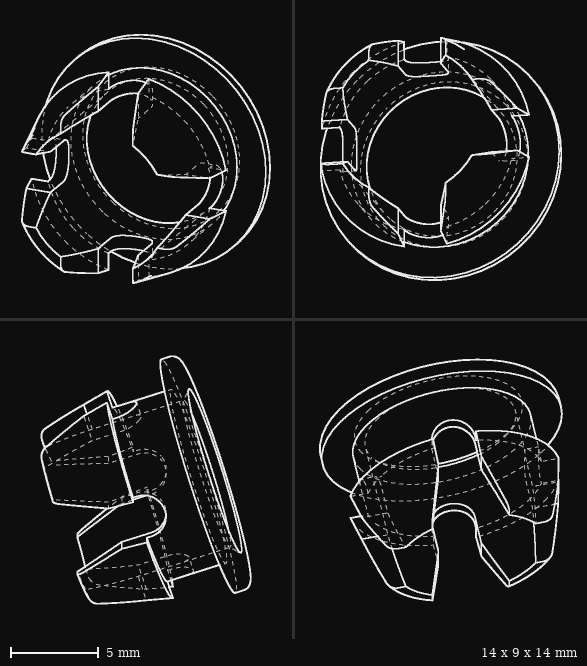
import cadquery as cq


flange_diameter = 14.0
flange_thickness = 1.0
flange_edge_radius = 0.5

total_length = 9.0
sleeve_diameter = 10.4
bore_diameter = 8.8
bore_entry_chamfer = 0.5

barb_shoulder_diameter = 12.4
barb_tip_diameter = sleeve_diameter
barb_shoulder_depth = 4.5
barb_tip_radius = 0.5

slot_width = 2.5
slot_end_depth = 3.0
slot_flare_depth = 6.0
slot_flare_per_side = 1.0
slot_directions = (0, 90)


def make_body():
    """Revolve the flange, sleeve and barb around Y and finish its end edges."""
    bore_radius = bore_diameter / 2
    flange_radius = flange_diameter / 2
    sleeve_radius = sleeve_diameter / 2
    profile = [
        (bore_radius, 0),
        (flange_radius, 0),
        (flange_radius, -flange_thickness),
        (sleeve_radius, -flange_thickness),
        (sleeve_radius, -barb_shoulder_depth),
        (barb_shoulder_diameter / 2, -barb_shoulder_depth),
        (barb_tip_diameter / 2, -total_length),
        (bore_radius, -total_length),
    ]
    body = cq.Workplane("XY").polyline(profile).close().revolve(360, (0, 0), (0, 1))
    innermost = cq.selectors.RadiusNthSelector(0)
    outermost = cq.selectors.RadiusNthSelector(-1)
    body = body.faces(">Y").edges(outermost).fillet(flange_edge_radius)
    body = body.faces(">Y").edges(innermost).chamfer(bore_entry_chamfer)
    return body.faces("<Y").edges(outermost).fillet(barb_tip_radius)


def make_slot():
    """Round-ended slot along Z that flares open toward the finger tips."""
    half_width = slot_width / 2
    mouth_half_width = half_width + slot_flare_per_side
    arc_center_depth = slot_end_depth + half_width
    return (
        cq.Workplane("XY")
        .moveTo(-half_width, -arc_center_depth)
        .threePointArc((0, -slot_end_depth), (half_width, -arc_center_depth))
        .lineTo(half_width, -slot_flare_depth)
        .lineTo(mouth_half_width, -total_length)
        .lineTo(-mouth_half_width, -total_length)
        .lineTo(-half_width, -slot_flare_depth)
        .close()
        .extrude(flange_diameter / 2, both=True)
    )


result = make_body()
for direction in slot_directions:
    result = result.cut(make_slot().rotate((0, 0, 0), (0, 1, 0), direction))